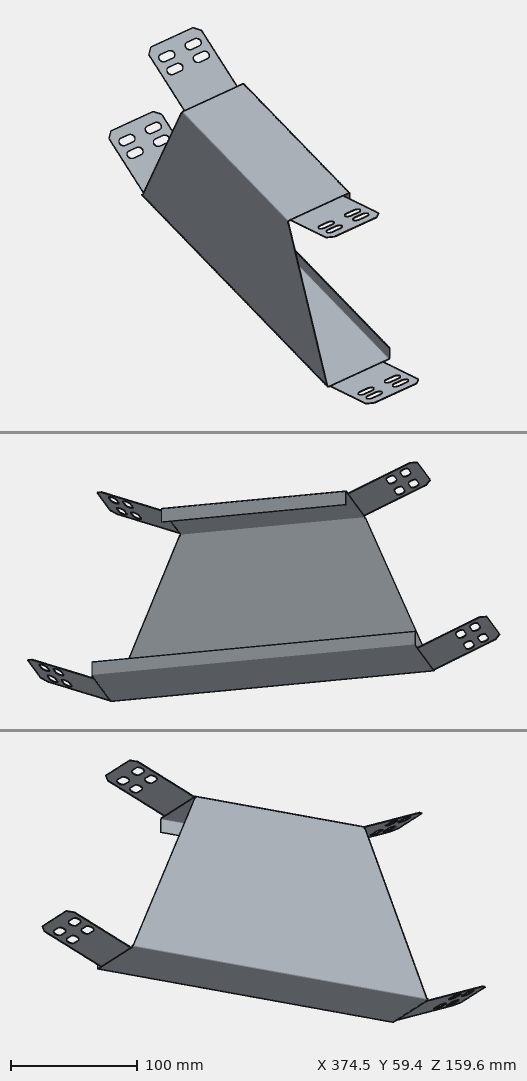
import cadquery as cq
import math

overall_length = 374.5
overall_width = 59.4
overall_height = 159.58

sheet = 0.7
bend_outer_radius = 1.7
bend_inner_radius = bend_outer_radius - sheet
lip_height = 12.0

tilt = math.radians(22.5)
tab_length = 60.0
tab_width = 50.0
tab_offset_from_web = 2.7
tab_corner_chamfer = 5.0

slot_length = 14.0
slot_width = 7.0
slot_end_distance = 12.5
slot_column_pitch = 12.5
slot_row_pitch = 25.0

web_face_y = -overall_width / 2
lip_face_y = overall_width / 2
tab_center_y = web_face_y + tab_offset_from_web + tab_width / 2
channel_height = overall_height - tab_length * math.sin(tilt) + sheet * (1 - math.cos(tilt))
lower_half_length = overall_length / 2 - tab_length * math.cos(tilt)
upper_half_length = lower_half_length - channel_height * math.tan(tilt)


def web_half_length(z):
    """Half length of the sloping web at height z."""
    return lower_half_length - z * math.tan(tilt)


def make_rail(half_length):
    """Flat flange at z = 0 with a lip at +Y and a bend leading up into the web at -Y."""
    inner_web_y = web_face_y + sheet
    inner_lip_y = lip_face_y - sheet
    bend_top = bend_outer_radius
    web_bend_y = web_face_y + bend_outer_radius
    lip_bend_y = lip_face_y - bend_outer_radius
    outer_sag = bend_outer_radius * math.sqrt(0.5)
    inner_sag = bend_inner_radius * math.sqrt(0.5)
    section = (
        cq.Workplane("YZ", origin=(-half_length, 0, 0))
        .moveTo(web_face_y, bend_top)
        .threePointArc((web_bend_y - outer_sag, bend_top - outer_sag), (web_bend_y, 0))
        .lineTo(lip_bend_y, 0)
        .threePointArc((lip_bend_y + outer_sag, bend_top - outer_sag), (lip_face_y, bend_top))
        .lineTo(lip_face_y, lip_height)
        .lineTo(inner_lip_y, lip_height)
        .lineTo(inner_lip_y, bend_top)
        .threePointArc((lip_bend_y + inner_sag, bend_top - inner_sag), (lip_bend_y, sheet))
        .lineTo(web_bend_y, sheet)
        .threePointArc((web_bend_y - inner_sag, bend_top - inner_sag), (inner_web_y, bend_top))
        .close()
    )
    return section.extrude(2 * half_length)


def make_web():
    """Trapezoidal side wall between the bends of the two rails."""
    bottom = bend_outer_radius
    top = channel_height - bend_outer_radius
    return (
        cq.Workplane("XZ", origin=(0, web_face_y + sheet, 0))
        .moveTo(-web_half_length(bottom), bottom)
        .lineTo(web_half_length(bottom), bottom)
        .lineTo(web_half_length(top), top)
        .lineTo(-web_half_length(top), top)
        .close()
        .extrude(sheet)
    )


def make_tab(bend_x, flange_bottom_z):
    """Slotted tab at the +X end of a flange, mitred into the flange along its bend line."""
    mitre = sheet * math.tan(tilt / 2)
    plate = (
        cq.Workplane("XY")
        .center(tab_length / 2, 0)
        .rect(tab_length, tab_width)
        .extrude(sheet)
        .edges("|Z and >X")
        .chamfer(tab_corner_chamfer)
    )
    last_column_x = tab_length - slot_end_distance
    slot_centers = [
        (last_column_x - column * slot_column_pitch, side * slot_row_pitch / 2)
        for column in range(2)
        for side in (-1, 1)
    ]
    slots = (
        cq.Workplane("XY")
        .pushPoints(slot_centers)
        .slot2D(slot_length, slot_width, 90)
        .extrude(sheet)
    )
    bend_overlap = (
        cq.Workplane("XZ", origin=(0, tab_width / 2, 0))
        .polyline([(0, 0), (0, sheet), (-mitre, sheet)])
        .close()
        .extrude(tab_width)
    )
    return (
        plate.cut(slots)
        .union(bend_overlap)
        .rotate((0, 0, 0), (0, 1, 0), -math.degrees(tilt))
        .translate((bend_x, tab_center_y, flange_bottom_z))
    )


lower_rail = make_rail(lower_half_length)
upper_rail = make_rail(upper_half_length).mirror("XY").translate((0, 0, channel_height))
result = make_web().union(lower_rail).union(upper_rail)

upper_flange_bottom_z = channel_height - sheet
for bend_x, flange_bottom_z in (
    (lower_half_length, 0),
    (upper_half_length, upper_flange_bottom_z),
):
    tab = make_tab(bend_x, flange_bottom_z)
    result = result.union(tab).union(tab.mirror("YZ"))